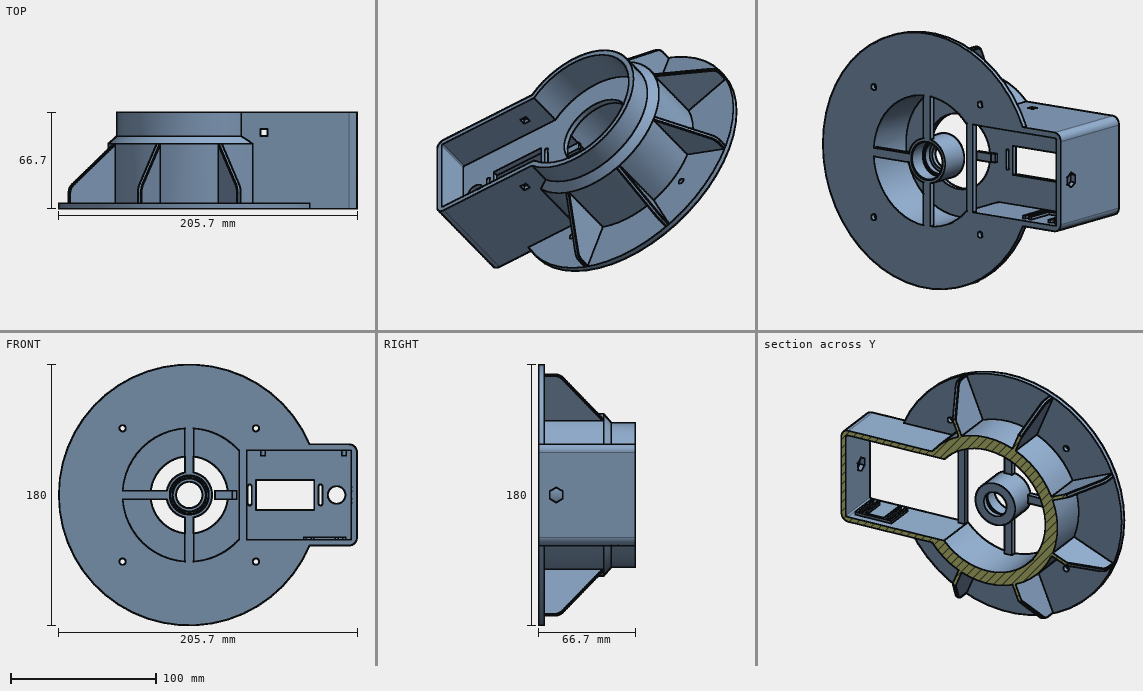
import cadquery as cq
WALL = 4.0
TOTAL_DEPTH = 66.7

FLANGE_RADIUS = 90.0
FLANGE_THICKNESS = WALL
SCREW_COUNT = 4
SCREW_CIRCLE_RADIUS = 65.0
SCREW_HOLE_DIAMETER = 4.2

DRUM_INNER_RADIUS = 46.0
REAR_RADIUS = DRUM_INNER_RADIUS + WALL
FRONT_RADIUS = 56.0
CONE_START = 44.8
CONE_END = 50.2

BOX_END_X = 115.71
BOX_HALF_HEIGHT = 35.0
BOX_CORNER_RADIUS = 5.7
CAVITY_CORNER_RADIUS = 1.0
CAVITY_HALF_HEIGHT = BOX_HALF_HEIGHT - WALL
CAVITY_END_X = BOX_END_X - WALL

PLATE_FRONT = 37.0
PLATE_BACK = PLATE_FRONT + WALL
PLATE_HOLE_RADIUS = 26.6

BAR_START_X = 34.4
BAR_END_X = 39.7

HUB_RADIUS = 15.8
HUB_LENGTH = 22.0
HUB_POCKET_RADIUS = 13.1
HUB_LIP_CHAMFER = 0.5
HUB_STEP_RADIUS = 11.3
HUB_BORE_RADIUS = 9.0
HUB_POCKET_DEPTH = 12.4
HUB_STEP_DEPTH = 18.0
SPOKE_WIDTH = 6.1

TAB_WIDTH = 6.0
TAB_TIP_X = 17.7
TAB_FOOT_START_X = 29.7
TAB_FOOT_END_X = 32.8
TAB_FRONT = 33.6
TAB_THICKNESS = 2.6
TAB_FOOT_FRONT = 34.6

FIN_SPACING = 45.0
FIN_FIRST_ANGLE = 1.5 * FIN_SPACING
FIN_COUNT = 6
FIN_RADIUS = 89.8
FIN_THICKNESS = 3.0
FIN_KNEE_DEPTH = 14.5
FIN_TOP_RADIUS = 56.0
FIN_KNEE_FILLET = 8.0
FIN_EDGE_CHAMFER = 0.5

SERVO_X = 66.1
SERVO_LENGTH = 40.0
SERVO_HEIGHT = 20.5
SLOT_OFFSET = 24.4
SLOT_LENGTH = 14.4
SLOT_WIDTH = 2.5

PLATE_CABLE_X = 101.6
PLATE_CABLE_DIAMETER = 12.0
END_HOLE_DEPTH = 12.2
END_HOLE_ACROSS_FLATS = 9.0
TOP_HOLE_X = 51.5
TOP_HOLE_DEPTH = 52.6
TOP_HOLE_SIZE = 4.6

PEG_DIAMETER = 3.0
PEG_LENGTH = 3.8
PEG_DEPTH = 18.0
PEG_XS = (50.8, 106.8)

RAIL_HEIGHT = 2.0
RAIL_WIDTH = 1.9
RAIL_GROOVE = 3.2
RAIL_FRONT = 5.5
RAIL_BACK = 28.0
RAILS_START_X = 78.9
RAILS_END_X = 107.8


def box(x0, x1, y0, y1, z0, z1):
    return cq.Workplane("XY").box(x1 - x0, y1 - y0, z1 - z0, centered=False).translate((x0, y0, z0))


def disc(radius, y0, y1, x=0.0, z=0.0):
    plane = cq.Workplane("XZ", origin=(x, y0, z))
    return plane.circle(radius).extrude(y0 - y1)


def revolved(profile):
    """Revolve an outline of (radius, depth) points about the drum axis."""
    section = cq.Workplane("XY").polyline(profile).close()
    return section.revolve(360, (0, 0, 0), (0, 1, 0))


def turned_about_axis(shape, angle):
    """Turn a shape from +X towards +Z about the Y axis."""
    return shape.rotate((0, 0, 0), (0, 1, 0), -angle)


def outer_body():
    profile = [
        (0, 0),
        (FLANGE_RADIUS, 0),
        (FLANGE_RADIUS, FLANGE_THICKNESS),
        (FRONT_RADIUS, FLANGE_THICKNESS),
        (FRONT_RADIUS, CONE_START),
        (REAR_RADIUS, CONE_END),
        (REAR_RADIUS, TOTAL_DEPTH),
        (0, TOTAL_DEPTH),
    ]
    drum = revolved(profile)
    housing = box(0, BOX_END_X, 0, TOTAL_DEPTH, -BOX_HALF_HEIGHT, BOX_HALF_HEIGHT)
    housing = housing.edges("|Y and >X").fillet(BOX_CORNER_RADIUS)
    return drum.union(housing)


def chamber(y0, y1):
    cavity = box(0, CAVITY_END_X, y0, y1, -CAVITY_HALF_HEIGHT, CAVITY_HALF_HEIGHT)
    cavity = cavity.edges("|Y and >X").fillet(CAVITY_CORNER_RADIUS)
    return disc(DRUM_INNER_RADIUS, y0, y1).union(cavity)


def fin():
    foot = FLANGE_THICKNESS / 2
    outline = [
        (REAR_RADIUS, foot),
        (FIN_RADIUS, foot),
        (FIN_RADIUS, FIN_KNEE_DEPTH),
        (FIN_TOP_RADIUS, CONE_START),
        (REAR_RADIUS, CONE_START),
    ]
    plate = cq.Workplane("XY").polyline(outline).close().extrude(FIN_THICKNESS / 2, both=True)
    knee = cq.selectors.NearestToPointSelector((FIN_RADIUS, FIN_KNEE_DEPTH, 0))
    plate = plate.edges(knee).fillet(FIN_KNEE_FILLET)
    return plate.faces("<Z or >Z").edges().chamfer(FIN_EDGE_CHAMFER)


def hub():
    lip_radius = HUB_POCKET_RADIUS + HUB_LIP_CHAMFER
    step_lip_radius = HUB_STEP_RADIUS + HUB_LIP_CHAMFER
    profile = [
        (HUB_RADIUS, 0),
        (lip_radius, 0),
        (HUB_POCKET_RADIUS, HUB_LIP_CHAMFER),
        (HUB_POCKET_RADIUS, HUB_POCKET_DEPTH),
        (step_lip_radius, HUB_POCKET_DEPTH),
        (HUB_STEP_RADIUS, HUB_POCKET_DEPTH + HUB_LIP_CHAMFER),
        (HUB_STEP_RADIUS, HUB_STEP_DEPTH),
        (HUB_BORE_RADIUS, HUB_STEP_DEPTH),
        (HUB_BORE_RADIUS, HUB_LENGTH),
        (HUB_RADIUS, HUB_LENGTH),
    ]
    return revolved(profile)


def spoke():
    hub_wall_middle = (HUB_RADIUS + HUB_POCKET_RADIUS + HUB_LIP_CHAMFER) / 2
    half = SPOKE_WIDTH / 2
    return box(hub_wall_middle, FRONT_RADIUS, 0, FLANGE_THICKNESS, -half, half)


def plate_tab():
    half = TAB_WIDTH / 2
    arm = box(TAB_TIP_X, TAB_FOOT_START_X, TAB_FRONT, TAB_FRONT + TAB_THICKNESS, -half, half)
    foot = box(TAB_FOOT_START_X, TAB_FOOT_END_X, TAB_FOOT_FRONT, PLATE_FRONT, -half, half)
    return arm.union(foot)


def front_bar():
    return box(BAR_START_X, BAR_END_X, 0, FLANGE_THICKNESS, -CAVITY_HALF_HEIGHT, CAVITY_HALF_HEIGHT)


def plate_holes():
    holes = disc(PLATE_HOLE_RADIUS, PLATE_FRONT, PLATE_BACK)
    holes = holes.union(disc(PLATE_CABLE_DIAMETER / 2, PLATE_FRONT, PLATE_BACK, PLATE_CABLE_X))
    plane = cq.Workplane("XZ", origin=(SERVO_X, PLATE_FRONT, 0))
    holes = holes.union(plane.rect(SERVO_LENGTH, SERVO_HEIGHT).extrude(-WALL))
    slots = plane.pushPoints([(-SLOT_OFFSET, 0), (SLOT_OFFSET, 0)]).slot2D(SLOT_LENGTH, SLOT_WIDTH, 90)
    return holes.union(slots.extrude(-WALL))


def screw_holes():
    plane = cq.Workplane("XZ").polarArray(SCREW_CIRCLE_RADIUS, 45, 360, SCREW_COUNT)
    return plane.circle(SCREW_HOLE_DIAMETER / 2).extrude(-FLANGE_THICKNESS)


def box_wall_holes():
    end_plane = cq.Workplane("YZ", origin=(CAVITY_END_X, END_HOLE_DEPTH, 0))
    end_hole = end_plane.polygon(6, END_HOLE_ACROSS_FLATS, circumscribed=True).extrude(WALL)
    top_plane = cq.Workplane("XY", origin=(TOP_HOLE_X, TOP_HOLE_DEPTH, -BOX_HALF_HEIGHT))
    return end_hole.union(top_plane.rect(TOP_HOLE_SIZE, TOP_HOLE_SIZE).extrude(2 * BOX_HALF_HEIGHT))


def roof_pegs():
    plane = cq.Workplane("XY", origin=(0, PEG_DEPTH, CAVITY_HALF_HEIGHT))
    return plane.pushPoints([(x, 0) for x in PEG_XS]).circle(PEG_DIAMETER / 2).extrude(-PEG_LENGTH)


def floor_rails():
    z0 = -CAVITY_HALF_HEIGHT
    z1 = z0 + RAIL_HEIGHT
    pitch = RAIL_WIDTH + RAIL_GROOVE
    rails = box(RAILS_START_X, RAILS_END_X, RAIL_BACK - RAIL_WIDTH, RAIL_BACK, z0, z1)
    last = RAILS_END_X - RAIL_WIDTH
    for x in (RAILS_START_X, RAILS_START_X + pitch, last - pitch, last):
        rails = rails.union(box(x, x + RAIL_WIDTH, RAIL_FRONT, RAIL_BACK, z0, z1))
    return rails


result = outer_body()
for index in range(FIN_COUNT):
    result = result.union(turned_about_axis(fin(), FIN_FIRST_ANGLE + index * FIN_SPACING))
result = result.cut(chamber(0, PLATE_FRONT)).cut(chamber(PLATE_BACK, TOTAL_DEPTH))
result = result.cut(plate_holes()).cut(screw_holes()).cut(box_wall_holes())
result = result.union(front_bar()).union(hub())
for angle in (90, 180, 270):
    result = result.union(turned_about_axis(spoke(), angle))
result = result.union(plate_tab())
result = result.union(roof_pegs()).union(floor_rails())